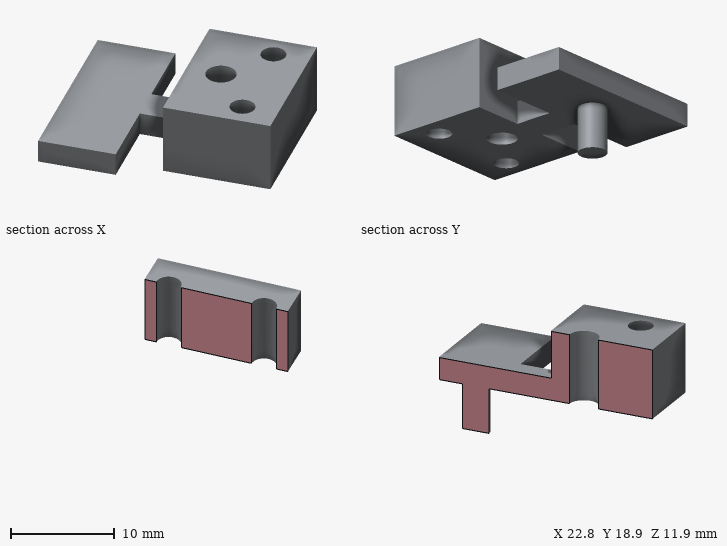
import cadquery as cq

total_length = 22.8
plate_length = 7.85
block_length = 10.85
neck_length = total_length - plate_length - block_length

plate_width = 18.89
block_width = 14.74
neck_width = 3.63

plate_height = 2.35
block_height = 7.23
pin_length = 4.65
pin_diameter = 2.87

main_hole_diameter = 3.0
main_hole_x = 15.47
side_hole_diameter = 2.5
side_hole_x = 19.2
side_hole_spacing = 9.8

block_start = plate_length + neck_length


def bar(start_x, length, width, height):
    """Box standing on Z = 0, starting at start_x and centred in Y."""
    return (
        cq.Workplane("XY")
        .box(length, width, height, centered=(False, True, False))
        .translate((start_x, 0, 0))
    )


def block_hole(x, y, diameter):
    """Cutter for a vertical hole through the block."""
    return cq.Workplane("XY").center(x, y).circle(diameter / 2).extrude(block_height)


plate = bar(0, plate_length, plate_width, plate_height)
neck = bar(plate_length, neck_length, neck_width, plate_height)
block = bar(block_start, block_length, block_width, block_height)

pin = (
    cq.Workplane("XY")
    .center(plate_length / 2, 0)
    .circle(pin_diameter / 2)
    .extrude(-pin_length)
)

result = plate.union(neck).union(block).union(pin)

result = result.cut(block_hole(main_hole_x, 0, main_hole_diameter))
for side in (-1, 1):
    side_hole_y = side * side_hole_spacing / 2
    result = result.cut(block_hole(side_hole_x, side_hole_y, side_hole_diameter))